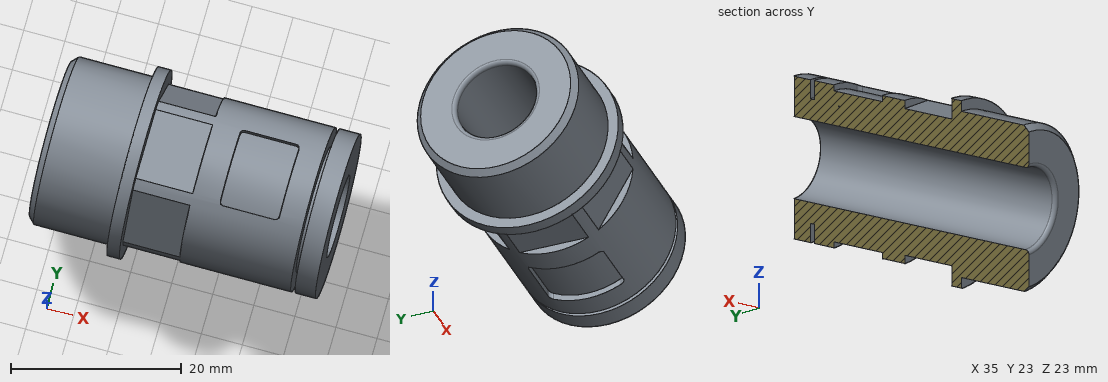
import cadquery as cq

length = 35.0
spigot_diameter = 20.4
spigot_length = 10.0
spigot_chamfer = 0.75
flange_diameter = 23.0
flange_thickness = 1.55
body_diameter = 20.0
bore_diameter = 10.0
bore_round = 0.52

flat_count = 6
across_flats = 18.0
flats_length = 6.93

groove_diameter = 15.3
groove_start = 32.0
groove_width = 0.52

recess_start = 21.85
recess_length = 7.18
recess_width = 9.52
recess_depth = 0.75
recess_corner_radius = 0.5

flange_end = spigot_length + flange_thickness


def cylinder(start, extent, diameter):
    """Solid cylinder on the X axis."""
    return cq.Workplane("YZ", origin=(start, 0, 0)).circle(diameter / 2).extrude(extent)


def ring(start, extent, outer_diameter, inner_diameter):
    """Ring on the X axis."""
    return cylinder(start, extent, outer_diameter).cut(cylinder(start, extent, inner_diameter))


def outer_shape():
    spigot = cylinder(0, spigot_length, spigot_diameter).faces("<X").chamfer(spigot_chamfer)
    flange = cylinder(spigot_length, flange_thickness, flange_diameter)
    body = cylinder(flange_end, length - flange_end, body_diameter)
    return spigot.union(flange).union(body)


def wrench_flat_cutter(index):
    """Block outside one flat, turned to its place around the axis."""
    return (
        cq.Workplane("XY", origin=(flange_end, 0, across_flats / 2))
        .box(flats_length, body_diameter, body_diameter, centered=(False, True, False))
        .rotate((0, 0, 0), (1, 0, 0), index * 360 / flat_count)
    )


def recess_cutter(angle):
    """Window with rounded corners and a floor concentric with the body, turned around the axis."""
    window = (
        cq.Workplane("XY", origin=(recess_start, 0, 0))
        .box(recess_length, recess_width, body_diameter, centered=(False, True, False))
        .edges("|Z")
        .fillet(recess_corner_radius)
    )
    floor = cylinder(recess_start, recess_length, body_diameter - 2 * recess_depth)
    return window.cut(floor).rotate((0, 0, 0), (1, 0, 0), angle)


result = outer_shape()

for flat_index in range(flat_count):
    result = result.cut(wrench_flat_cutter(flat_index))

for recess_angle in (0, 180):
    result = result.cut(recess_cutter(recess_angle))

result = result.cut(ring(groove_start, groove_width, flange_diameter, groove_diameter))

result = result.cut(cylinder(0, length, bore_diameter))
result = result.faces("<X").edges(cq.selectors.RadiusNthSelector(0)).fillet(bore_round)